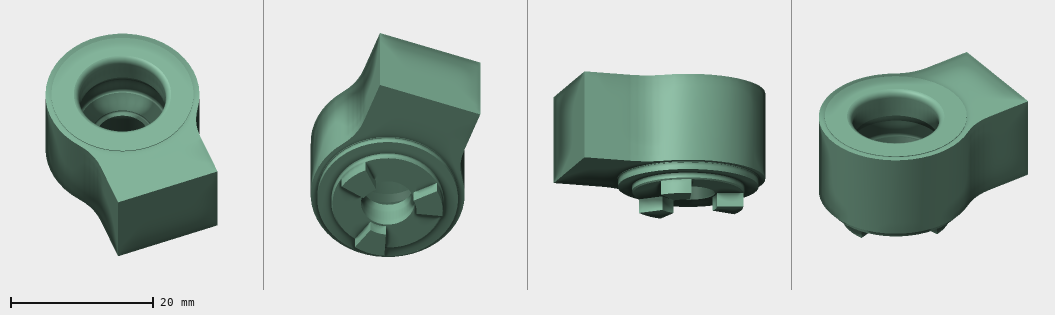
import cadquery as cq
import math

total_length = 28.33
head_diameter = 21.67
arm_width = 15.01
arm_blend_radius = 8.15

lug_height = 1.98
spigot_height = 0.9
flange_height = 1.0
lower_pad_height = 0.1
body_height = 12.5
upper_pad_height = 0.1

spigot_diameter = 15.9
spigot_chamfer = 0.2
flange_diameter = 19.8
pad_diameter = 20.0

mouth_radius = 12.18 / 2
mouth_rounding = 1.0
mouth_rounding_depth = 0.95
mouth_depth = 4.05
relief_radius = 13.3 / 2
relief_cone_depth = 5.27
relief_depth = 7.75
relief_fillet = 0.4
seat_end_radius = 9.0 / 2
seat_end_depth = 9.63
ledge_radius = 8.55 / 2
ledge_fillet = seat_end_radius - ledge_radius
through_radius = 7.5 / 2

lug_angles = (60, 180, 300)
lug_outer_radius = 15.5 / 2
lug_inner_radius = 8.1 / 2
lug_half_angle = 16.5

head_radius = head_diameter / 2
spigot_bottom = lug_height
flange_bottom = spigot_bottom + spigot_height
pad_bottom = flange_bottom + flange_height
body_bottom = pad_bottom + lower_pad_height
body_top = body_bottom + body_height
top = body_top + upper_pad_height


def polar(radius, degrees):
    """Point at a radius and angle around the head axis."""
    angle = math.radians(degrees)
    return radius * math.cos(angle), radius * math.sin(angle)


def disk(diameter, bottom, height):
    return cq.Workplane("XY").workplane(offset=bottom).circle(diameter / 2).extrude(height)


def make_body():
    """Round head running into a flat-sided arm through two tangent blends."""
    arm_end = total_length - head_radius
    half_width = arm_width / 2
    blend_y = half_width + arm_blend_radius
    blend_reach = head_radius + arm_blend_radius
    blend_x = math.sqrt(blend_reach**2 - blend_y**2)
    blend_angle = math.degrees(math.atan2(blend_y, blend_x))
    head_x, head_y = polar(head_radius, blend_angle)
    mid_dx, mid_dy = polar(arm_blend_radius, (180 + blend_angle + 270) / 2)
    mid_x = blend_x + mid_dx
    mid_y = blend_y + mid_dy
    return (
        cq.Workplane("XY")
        .workplane(offset=body_bottom)
        .moveTo(arm_end, -half_width)
        .lineTo(arm_end, half_width)
        .lineTo(blend_x, half_width)
        .threePointArc((mid_x, mid_y), (head_x, head_y))
        .threePointArc((-head_radius, 0), (head_x, -head_y))
        .threePointArc((mid_x, -mid_y), (blend_x, -half_width))
        .close()
        .extrude(body_height)
    )


def make_bore():
    """Stepped bore: rounded mouth, wider relief, conical seat, ledge and through hole."""
    rounding_angle = math.degrees(math.asin(mouth_rounding_depth / mouth_rounding))
    rounding_center_r = mouth_radius + mouth_rounding
    rounding_center_z = top - mouth_rounding_depth
    mid_dx, mid_dz = polar(mouth_rounding, 180 - rounding_angle / 2)
    rounding_mid = (rounding_center_r + mid_dx, rounding_center_z + mid_dz)
    rim_radius = rounding_center_r + polar(mouth_rounding, 180 - rounding_angle)[0]

    relief_dx, relief_dz = polar(relief_fillet, -45)
    relief_mid = (
        relief_radius - relief_fillet + relief_dx,
        top - relief_depth + relief_fillet + relief_dz,
    )

    ledge_depth = seat_end_depth + ledge_fillet
    ledge_dx, ledge_dz = polar(ledge_fillet, -45)
    ledge_mid = (ledge_radius + ledge_dx, top - seat_end_depth + ledge_dz)

    return (
        cq.Workplane("XZ")
        .moveTo(0, top)
        .lineTo(rim_radius, top)
        .threePointArc(rounding_mid, (mouth_radius, rounding_center_z))
        .lineTo(mouth_radius, top - mouth_depth)
        .lineTo(relief_radius, top - relief_cone_depth)
        .lineTo(relief_radius, top - relief_depth + relief_fillet)
        .threePointArc(relief_mid, (relief_radius - relief_fillet, top - relief_depth))
        .lineTo(seat_end_radius, top - seat_end_depth)
        .threePointArc(ledge_mid, (ledge_radius, top - ledge_depth))
        .lineTo(through_radius, top - ledge_depth)
        .lineTo(through_radius, 0)
        .lineTo(0, 0)
        .close()
        .revolve(360, (0, 0, 0), (0, 1, 0))
    )


def make_lug(center_angle):
    """Ring sector reaching from Z = 0 up to the spigot."""
    start = center_angle - lug_half_angle
    end = center_angle + lug_half_angle
    return (
        cq.Workplane("XY")
        .moveTo(*polar(lug_inner_radius, start))
        .lineTo(*polar(lug_outer_radius, start))
        .threePointArc(polar(lug_outer_radius, center_angle), polar(lug_outer_radius, end))
        .lineTo(*polar(lug_inner_radius, end))
        .threePointArc(polar(lug_inner_radius, center_angle), polar(lug_inner_radius, start))
        .close()
        .extrude(lug_height)
    )


spigot = disk(spigot_diameter, spigot_bottom, spigot_height).faces("<Z").chamfer(spigot_chamfer)

result = (
    make_body()
    .union(disk(pad_diameter, body_top, upper_pad_height))
    .union(disk(pad_diameter, pad_bottom, lower_pad_height))
    .union(disk(flange_diameter, flange_bottom, flange_height))
    .union(spigot)
)
for lug_angle in lug_angles:
    result = result.union(make_lug(lug_angle))
result = result.cut(make_bore())